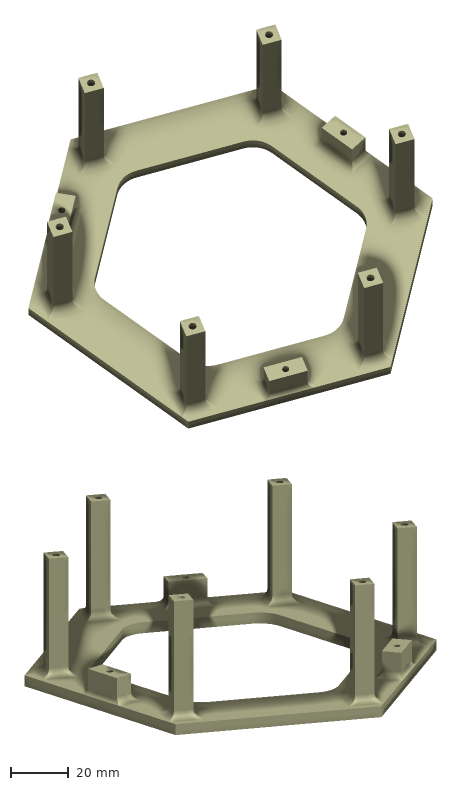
import cadquery as cq
import math

outer_corner_diameter = 147.6
opening_across_flats = 87.9
plate_thickness = 4.0
opening_corner_radius = 10.0

total_height = 47.0
post_width = 7.0
post_flare_radius = 3.0
post_pattern_x = 0.3
end_post_y = 62.5
side_post_x = 55.0
side_post_y = 32.5
post_hole_diameter = 2.8

block_top = 13.5
block_length = 14.0
block_flare_radius = 2.5
block_hole_diameter = 2.5

side_block_depth = 6.2
side_block_edge_gap = 1.0
slanted_block_depth = 7.0
slanted_block_edge_gap = 0.96
slanted_block_offset = 0.3
slanted_block_angles = (120, 240)

hole_depth = block_top - plate_thickness

flats_to_corners = math.cos(math.pi / 6)
outer_flat_distance = outer_corner_diameter / 2 * flats_to_corners
opening_corner_diameter = opening_across_flats / flats_to_corners

post_centers = [
    (0, end_post_y),
    (0, -end_post_y),
    (side_post_x, side_post_y),
    (side_post_x, -side_post_y),
    (-side_post_x, side_post_y),
    (-side_post_x, -side_post_y),
]


def hexagon_prism(corner_diameter, height):
    """Hexagonal prism standing on Z = 0 with two corners on the Y axis."""
    return cq.Workplane("XY").polygon(6, corner_diameter).extrude(height).rotate((0, 0, 0), (0, 0, 1), 30)


def flared_slab(plane, width, top, radius, right_reach, thickness):
    """Upright slab centered on the plane, with concave flares at both sides of its foot.

    The left flare is a full quarter round; the right one has the same radius but stops
    where it has spread by right_reach. The foot goes down through the plate to Z = 0.
    """
    half = width / 2
    right_rise = math.sqrt(radius**2 - (radius - right_reach) ** 2)
    return (
        cq.Workplane(plane)
        .moveTo(-half - radius, 0)
        .lineTo(half + right_reach, 0)
        .lineTo(half + right_reach, plate_thickness)
        .radiusArc((half, plate_thickness + right_rise), radius)
        .lineTo(half, top)
        .lineTo(-half, top)
        .lineTo(-half, plate_thickness + radius)
        .radiusArc((-half - radius, plate_thickness), radius)
        .close()
        .extrude(thickness / 2, both=True)
    )


def flared_boss(size_x, size_y, top, radius, reach_x, hole_diameter):
    """Box on the Z axis with a flared foot mitred at its corners and a blind hole from above."""
    slab_thickness = 2 * (max(size_x, size_y) + radius)
    along_x = flared_slab("XZ", size_x, top, radius, reach_x, slab_thickness)
    along_y = flared_slab("YZ", size_y, top, radius, radius, slab_thickness)
    hole = cq.Workplane("XY", origin=(0, 0, top)).circle(hole_diameter / 2).extrude(-hole_depth)
    return along_x.intersect(along_y).cut(hole)


def edge_block(depth, edge_gap):
    """Block beside the +X side of the plate, its outer flare ending at the plate edge."""
    block = flared_boss(depth, block_length, block_top, block_flare_radius, edge_gap, block_hole_diameter)
    return block.translate((outer_flat_distance - edge_gap - depth / 2, 0, 0))


post = flared_boss(
    post_width, post_width, total_height, post_flare_radius, post_flare_radius, post_hole_diameter
)
side_block = edge_block(side_block_depth, side_block_edge_gap)
slanted_block = edge_block(slanted_block_depth, slanted_block_edge_gap).translate((0, slanted_block_offset, 0))

body = hexagon_prism(outer_corner_diameter, plate_thickness)
for x, y in post_centers:
    body = body.union(post.translate((x + post_pattern_x, y, 0)))
body = body.union(side_block)
for angle in slanted_block_angles:
    body = body.union(slanted_block.rotate((0, 0, 0), (0, 0, 1), angle))

opening = hexagon_prism(opening_corner_diameter, plate_thickness).edges("|Z").fillet(opening_corner_radius)
result = body.intersect(hexagon_prism(outer_corner_diameter, total_height)).cut(opening)